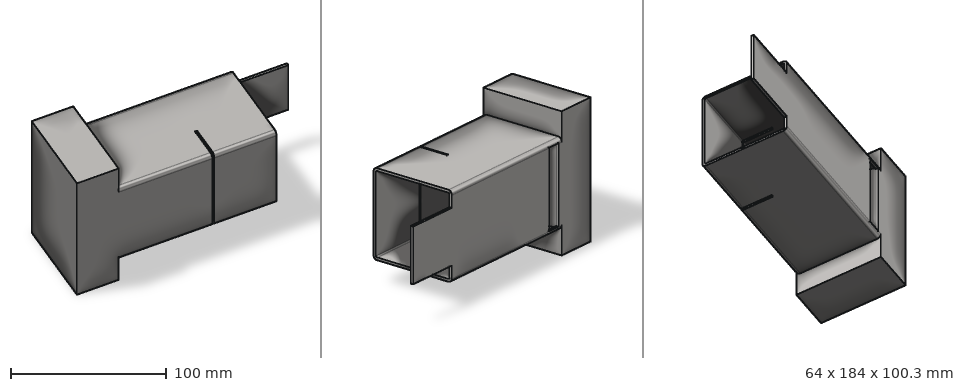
import cadquery as cq
import math

width = 64.0
total_length = 184.0
head_height = 100.3
head_depth = 30.0
tube_length = 113.9
wall = 2.0
bend_radius = 3.0
tab_height = 40.1
window_length = 10.0
window_offset = 3.1
ramp_angle = 15.0
slit_width = 1.5
slit_depth = 24.5
slit_y = 98.3

tube_end = head_depth + tube_length
tab_length = total_length - tube_end
inner_width = width - 2 * wall
window_height = width - 2 * bend_radius
window_y = head_depth + window_offset + window_length / 2


def block(size_x, size_y, size_z, x, y):
    """Box centred on (x, y) and on the horizontal mid-plane."""
    return cq.Workplane("XY").box(size_x, size_y, size_z).translate((x, y, 0))


def square_bar(side, radius):
    """Bar along the tube, with rounded long edges."""
    bar = block(side, tube_length, side, 0, head_depth + tube_length / 2)
    return bar.edges("|Y").fillet(radius)


head = block(width, head_depth, head_height, 0, head_depth / 2)

tube = square_bar(width, bend_radius).cut(square_bar(inner_width, bend_radius - wall))

tab_x = (wall - width) / 2
tab = block(wall, tab_length, tab_height, tab_x, tube_end + tab_length / 2)

window = block(wall, window_length, window_height, tab_x, window_y)

inner_half = inner_width / 2
ramp_start = head_depth + window_offset
ramp_end = ramp_start + inner_width * math.tan(math.radians(ramp_angle))
ramp_outline = [
    (-inner_half, head_depth),
    (inner_half, head_depth),
    (inner_half, ramp_end),
    (-inner_half, ramp_start),
]
ramp = cq.Workplane("XY").polyline(ramp_outline).close().extrude(inner_half, both=True)
ramp = ramp.intersect(square_bar(inner_width, bend_radius - wall))

slit = block(slit_depth, slit_width, width, (width - slit_depth) / 2, slit_y)

result = head.union(tube).union(tab).union(ramp).cut(window).cut(slit)